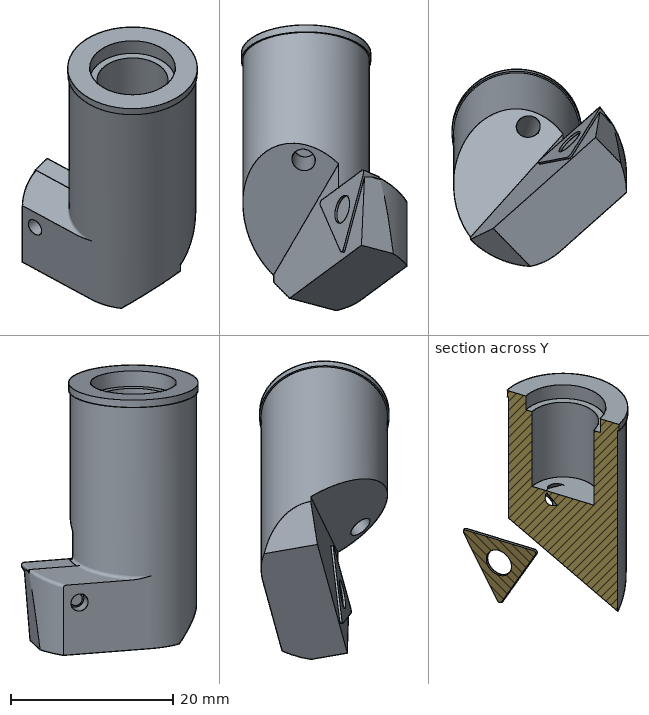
import cadquery as cq
import math

LENGTH = 32
SHANK_RADIUS = 7.8
COLLAR_RADIUS = 8
COLLAR_HEIGHT = 0.95
FOOT_CHAMFER = 3.85

MOUTH_RADIUS = 5.28
MOUTH_DEPTH = 2.0
BORE_RADIUS = 4.4
BORE_DEPTH = 12.8

INSERT_FRONT_Y = 0.3
INSERT_THICKNESS = 2.4
INSERT_BACK_Y = INSERT_FRONT_Y - INSERT_THICKNESS
INSERT_TOP_Z = 10.0
INSERT_INSCRIBED_DIAMETER = 6.37
INSERT_SIDE = INSERT_INSCRIBED_DIAMETER * math.sqrt(3)
NOSE_RADIUS = 0.4
NOSE_TIP_X = COLLAR_RADIUS - 22.3
NOSE_CORNER_X = NOSE_TIP_X + NOSE_RADIUS - NOSE_RADIUS / math.tan(math.radians(30))
RELIEF_ANGLE = 7

BLOCK_EDGE_X = -11.23
BLOCK_MIDDLE = (-13.2, -4.8)
BLOCK_FACE_Y = -SHANK_RADIUS
BLOCK_EDGE_RADIUS = 0.4
ROOT_FILLET = 0.4
FLANK_FOOT_X = -13.28
FLANK_ANGLE = 4.6
NOSE_GAP_BOTTOM_Z = INSERT_TOP_Z - 0.65
NOSE_GAP_RIGHT_X = NOSE_TIP_X + 0.65

FLUTE_SLOPE = 41
FLUTE_AZIMUTH = 130
FLUTE_AXIS_Z = 9.15

COOLANT_DIAMETER = 2.88
COOLANT_MOUTH = cq.Vector(-5.12, 3.42, 14.35)
COOLANT_END = cq.Vector(-1.35, 0.95, 18.5)
COOLANT_OVERRUN = 1.92

SCREW_X = -9.15
SCREW_Z = 6.62
SCREW_RADIUS = 1.1
SCREW_TIP_RADIUS = 0.8
SCREW_TIP_CHAMFER = SCREW_RADIUS - SCREW_TIP_RADIUS
SCREW_TIP_Y = -6.25
HEAD_RADIUS = 1.75
HEAD_CONE_BACK_Y = -0.95

MARGIN = 32


def plane_cutter(origin, x_direction, normal):
    """Large block filling the space on the normal side of a plane."""
    plane = cq.Plane(origin=origin, xDir=x_direction, normal=normal)
    return cq.Workplane(plane).rect(2 * MARGIN, 2 * MARGIN).extrude(MARGIN)


def insert_blank():
    """Rounded triangle that tapers toward -Y, without the screw hole."""
    right_x = NOSE_CORNER_X + INSERT_SIDE
    bottom_z = INSERT_TOP_Z - 1.5 * INSERT_INSCRIBED_DIAMETER
    corners = [
        (NOSE_CORNER_X, INSERT_TOP_Z),
        (right_x, INSERT_TOP_Z),
        ((NOSE_CORNER_X + right_x) / 2, bottom_z),
    ]
    sharp = cq.Sketch().polygon(corners + corners[:1]).vertices().fillet(NOSE_RADIUS)
    front = cq.Workplane("XZ", origin=(0, INSERT_FRONT_Y, 0))
    return front.placeSketch(sharp).extrude(INSERT_THICKNESS, taper=RELIEF_ANGLE)


def make_screw():
    """Countersunk screw along Y with a chamfered tip."""
    profile = [
        (0, 0),
        (HEAD_RADIUS, 0),
        (SCREW_RADIUS, HEAD_CONE_BACK_Y),
        (SCREW_RADIUS, SCREW_TIP_Y + SCREW_TIP_CHAMFER),
        (SCREW_TIP_RADIUS, SCREW_TIP_Y),
        (0, SCREW_TIP_Y),
    ]
    half_section = cq.Workplane("XY").polyline(profile).close()
    return half_section.revolve(360, (0, 0, 0), (0, 1, 0)).translate((SCREW_X, 0, SCREW_Z))


def screw_clearance(screw):
    """Screw-shaped hole that is open through both ends."""
    front = cq.Workplane("XZ", origin=(SCREW_X, MARGIN, SCREW_Z))
    shaft = front.circle(SCREW_RADIUS).extrude(2 * MARGIN)
    head_room = front.circle(HEAD_RADIUS).extrude(MARGIN)
    return screw.union(shaft).union(head_room)


def make_shank():
    """Plain cylinder without the collar."""
    return cq.Workplane("XY").circle(SHANK_RADIUS).extrude(LENGTH)


def shank_on_sloping_slab():
    """Shank standing in a wide slab whose top falls toward -Y, with a fillet around its root."""
    slope = math.radians(RELIEF_ANGLE)
    above_slab = plane_cutter(
        (0, INSERT_FRONT_Y, INSERT_TOP_Z), (1, 0, 0), (0, -math.sin(slope), math.cos(slope))
    )
    slab = cq.Workplane("XY").rect(MARGIN, MARGIN).extrude(LENGTH / 2).cut(above_slab)
    root_center = (0, 0, INSERT_TOP_Z - INSERT_FRONT_Y * math.tan(slope))
    root = cq.selectors.NearestToPointSelector(root_center)
    return slab.union(make_shank()).edges(root).fillet(ROOT_FILLET)


def side_block():
    """Left part of the slab and shank, trimmed to a curved outer end with a rounded top edge."""
    outline = (
        cq.Workplane("XY")
        .moveTo(0, BLOCK_FACE_Y)
        .lineTo(BLOCK_EDGE_X, BLOCK_FACE_Y)
        .threePointArc(BLOCK_MIDDLE, (NOSE_TIP_X, 0))
        .lineTo(0, 0)
        .close()
    )
    block = shank_on_sloping_slab().intersect(outline.extrude(LENGTH))
    curved_end = block.faces(cq.selectors.NearestToPointSelector((*BLOCK_MIDDLE, INSERT_TOP_Z / 2)))
    return curved_end.edges(">Z").fillet(BLOCK_EDGE_RADIUS)


def flank_relief():
    """Sloping flat below the nose, and the gap that leaves the nose itself bare."""
    tilt = math.radians(FLANK_ANGLE)
    flank = plane_cutter(
        (FLANK_FOOT_X, 0, 0), (0, 1, 0), (-math.cos(tilt), 0, -math.sin(tilt))
    )
    nose_gap = cq.Workplane("XY").box(MARGIN, MARGIN, MARGIN, centered=False).translate(
        (NOSE_GAP_RIGHT_X - MARGIN, INSERT_BACK_Y, NOSE_GAP_BOTTOM_Z)
    )
    below = cq.Workplane("XY").rect(2 * MARGIN, 2 * MARGIN).extrude(NOSE_GAP_BOTTOM_Z)
    return flank.intersect(below).union(nose_gap)


def flute():
    """Space on the +Y side of the seat and under the sloping roof."""
    slope = math.radians(FLUTE_SLOPE)
    azimuth = math.radians(FLUTE_AZIMUTH)
    downward = (
        math.sin(slope) * math.cos(azimuth),
        math.sin(slope) * math.sin(azimuth),
        -math.cos(slope),
    )
    along_roof = (-math.sin(azimuth), math.cos(azimuth), 0)
    under_roof = plane_cutter((0, 0, FLUTE_AXIS_Z), along_roof, downward)
    open_side = plane_cutter((0, 0, 0), (1, 0, 0), (0, 1, 0))
    return under_roof.intersect(open_side)


def bore():
    """Flat-bottomed bore with a wider mouth."""
    top = cq.Workplane("XY", origin=(0, 0, LENGTH))
    mouth = top.circle(MOUTH_RADIUS).extrude(-MOUTH_DEPTH)
    return top.circle(BORE_RADIUS).extrude(-BORE_DEPTH).union(mouth)


def coolant_hole():
    """Flat-ended slanting hole that breaks into the edge of the bore floor."""
    path = COOLANT_END - COOLANT_MOUTH
    start = COOLANT_MOUTH - path.normalized() * COOLANT_OVERRUN
    hole = cq.Solid.makeCylinder(
        COOLANT_DIAMETER / 2, path.Length + COOLANT_OVERRUN, start, path
    )
    return cq.Workplane(obj=hole)


def make_holder(insert_shape, screw_space):
    body = make_shank().union(side_block())
    collar = cq.Workplane("XY", origin=(0, 0, LENGTH)).circle(COLLAR_RADIUS).extrude(-COLLAR_HEIGHT)
    foot_cutter = plane_cutter((SHANK_RADIUS - FOOT_CHAMFER, 0, 0), (0, 1, 0), (1, 0, -1))
    body = body.union(collar).cut(foot_cutter).cut(flank_relief()).cut(flute())
    return body.cut(bore()).cut(coolant_hole()).cut(insert_shape).cut(screw_space)


screw = make_screw()
screw_space = screw_clearance(screw)
insert_shape = insert_blank()
cutting_insert = insert_shape.cut(screw_space)
holder = make_holder(insert_shape, screw_space)

result = cq.Compound.makeCompound([holder.val(), cutting_insert.val(), screw.val()])